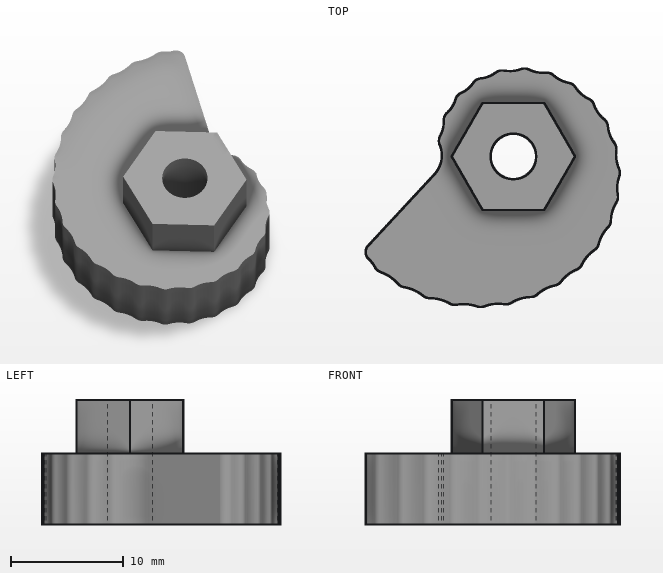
import cadquery as cq
import math

cam_height = 6.35
total_height = 11.12
hex_across_flats = 9.53
bore_diameter = 4.05

spiral_stations = [
    (-140.0, 15.81),
    (-121.2, 14.77),
    (-102.2, 13.75),
    (-59.2, 11.55),
    (-21.8, 10.05),
    (20.8, 8.85),
    (67.5, 8.1),
    (117.0, 7.58),
    (150.5, 7.1),
    (167.8, 6.8),
]

crest_count = 24
pitch_taper = 0.14
crest_half_width = 0.35
crest_height = 0.07
hollow_depth = 0.11

root_hollow_bottom = (-6.4, -0.14)
flank_start = (-7.1, -1.65)
flank_end = (-13.02, -8.03)
tip_nose = (-13.18, -8.49)
tip_end = (-12.95, -9.1)
tip_hollow_depth = 0.05


def polar_point(angle, radius):
    """Point in the XY plane at an angle in degrees around the bore."""
    return cq.Vector(
        radius * math.cos(math.radians(angle)),
        radius * math.sin(math.radians(angle)),
    )


def hollow_bottom(start, end, depth):
    """Middle of a hollow sunk below the chord of a counterclockwise rim."""
    chord = (end - start).normalized()
    inward = cq.Vector(-chord.y, chord.x)
    return (start + end) * 0.5 + inward * depth


def crest_points(spiral, index):
    """Start, apex and end of one rounded crest on the spiral."""
    fraction = index / (crest_count - 1)
    position = fraction + 0.5 * pitch_taper * fraction * (1 - fraction)
    apex = spiral.positionAt(position)
    tangent = spiral.tangentAt(position)
    inward = cq.Vector(-tangent.y, tangent.x)
    base = apex + inward * crest_height
    half_width = tangent * crest_half_width
    return base - half_width, apex, base + half_width


def cam_body():
    """Scalloped spiral plate closed by its straight flank."""
    spiral = cq.Edge.makeSpline([polar_point(angle, radius) for angle, radius in spiral_stations])

    rim_end = cq.Vector(*tip_end)
    outline = cq.Workplane("XY").moveTo(*flank_end).threePointArc(tip_nose, tip_end)
    depth = tip_hollow_depth
    for index in range(crest_count):
        start, apex, end = crest_points(spiral, index)
        outline = outline.threePointArc(hollow_bottom(rim_end, start, depth), start)
        outline = outline.threePointArc(apex, end)
        rim_end = end
        depth = hollow_depth

    outline = outline.threePointArc(root_hollow_bottom, flank_start).close()
    return outline.extrude(cam_height)


def hex_boss():
    """Hexagon with two corners on the X axis, standing on the cam."""
    corner_diameter = hex_across_flats / math.cos(math.radians(30))
    boss = cq.Workplane("XY").workplane(offset=cam_height)
    return boss.polygon(6, corner_diameter).extrude(total_height - cam_height)


bore = cq.Workplane("XY").circle(bore_diameter / 2).extrude(total_height)

result = cam_body().union(hex_boss()).cut(bore)